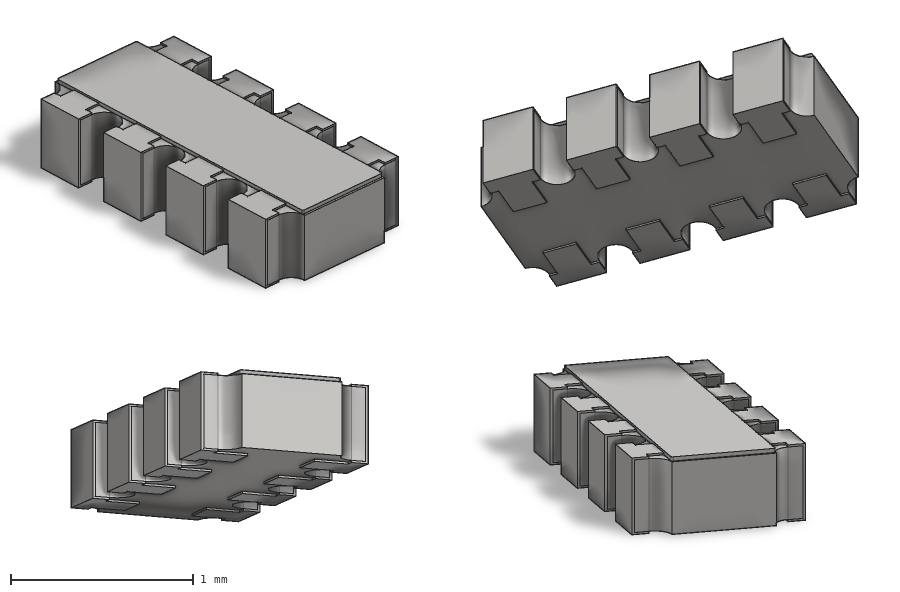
import cadquery as cq

LENGTH = 2.0
WIDTH = 1.0
HEIGHT = 0.45

TERMINALS_PER_SIDE = 4
PITCH = LENGTH / TERMINALS_PER_SIDE
NOTCH_RADIUS = 0.1
TERMINAL_WIDTH = PITCH - 2 * NOTCH_RADIUS
TAB_WIDTH = 0.2
PAD_THICKNESS = 0.012
END_THICKNESS = 0.015
BOTTOM_PAD_LENGTH = 0.3

COVER_WIDTH = 0.6
COVER_THICKNESS = 0.025
COVER_END_INSET = 0.015
COVER_CORNER_RADIUS = 0.012

SUBSTRATE_BOTTOM = PAD_THICKNESS
SUBSTRATE_TOP = HEIGHT - COVER_THICKNESS
SUBSTRATE_HEIGHT = SUBSTRATE_TOP - SUBSTRATE_BOTTOM
SUBSTRATE_WIDTH = WIDTH - 2 * END_THICKNESS
NOTCH_CENTRE_Y = COVER_WIDTH / 2 + NOTCH_RADIUS
WIDE_PAD_LENGTH = WIDTH / 2 - NOTCH_CENTRE_Y
TOP_PAD_LENGTH = (WIDTH - COVER_WIDTH) / 2


def block(size_x, y_from, y_to, z_from, z_to):
    """Box centred on X = 0 between the given Y and Z limits."""
    return (
        cq.Workplane("XY", origin=(0, (y_from + y_to) / 2, z_from))
        .rect(size_x, y_to - y_from)
        .extrude(z_to - z_from)
    )


def make_substrate():
    """Ceramic block with round-bottomed notches between the terminals."""
    substrate = block(
        LENGTH, -SUBSTRATE_WIDTH / 2, SUBSTRATE_WIDTH / 2, SUBSTRATE_BOTTOM, SUBSTRATE_TOP
    )
    slot_length = 2 * (WIDE_PAD_LENGTH + NOTCH_RADIUS)
    notch_points = [
        (-LENGTH / 2 + index * PITCH, side * WIDTH / 2)
        for index in range(TERMINALS_PER_SIDE + 1)
        for side in (-1, 1)
    ]
    notches = (
        cq.Workplane("XY", origin=(0, 0, SUBSTRATE_BOTTOM))
        .pushPoints(notch_points)
        .slot2D(slot_length, 2 * NOTCH_RADIUS, 90)
        .extrude(SUBSTRATE_HEIGHT)
    )
    return substrate.cut(notches)


def make_cover():
    """Thin plate on top of the substrate, with rounded corners."""
    return (
        cq.Workplane("XY", origin=(0, 0, SUBSTRATE_TOP))
        .rect(LENGTH - 2 * COVER_END_INSET, COVER_WIDTH)
        .extrude(COVER_THICKNESS)
        .edges("|Z")
        .fillet(COVER_CORNER_RADIUS)
    )


def make_pad(length, z_bottom):
    """T-shaped pad reaching inward from the outer face at Y = -WIDTH / 2."""
    outer_y = -WIDTH / 2
    z_top = z_bottom + PAD_THICKNESS
    wide = block(TERMINAL_WIDTH, outer_y, outer_y + WIDE_PAD_LENGTH, z_bottom, z_top)
    tab = block(TAB_WIDTH, outer_y, outer_y + length, z_bottom, z_top)
    return wide.union(tab)


def make_terminal():
    """C-shaped terminal wrapped around the -Y side of the substrate, at X = 0."""
    outer_y = -WIDTH / 2
    end_plate = block(
        TERMINAL_WIDTH, outer_y, outer_y + END_THICKNESS, 0, SUBSTRATE_TOP + PAD_THICKNESS
    )
    bottom_pad = make_pad(BOTTOM_PAD_LENGTH, 0)
    top_pad = make_pad(TOP_PAD_LENGTH, SUBSTRATE_TOP)
    return end_plate.union(bottom_pad).union(top_pad)


def make_terminals():
    """One row of terminals along each long side."""
    terminal = make_terminal()
    terminals = []
    for index in range(TERMINALS_PER_SIDE):
        x = (index - (TERMINALS_PER_SIDE - 1) / 2) * PITCH
        for angle in (0, 180):
            placed = terminal.translate((x, 0, 0)).rotate((0, 0, 0), (0, 0, 1), angle)
            terminals.append(placed.val())
    return terminals


substrate = make_substrate()
cover = make_cover()
terminals = make_terminals()

result = cq.Compound.makeCompound([substrate.val(), cover.val(), *terminals])